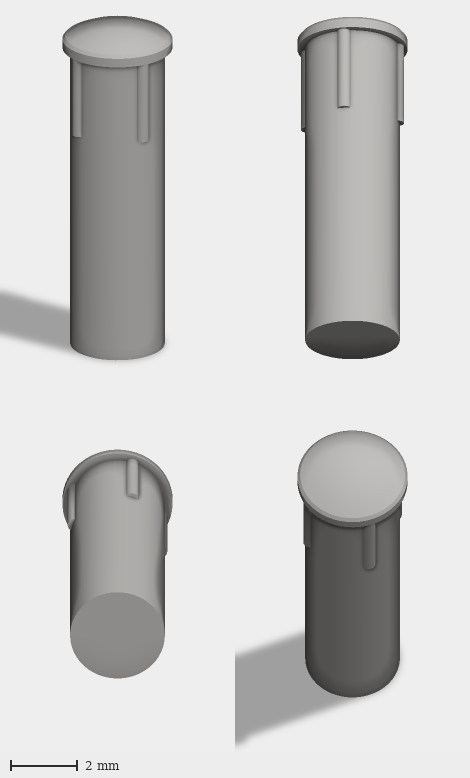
import cadquery as cq

total_height = 10.29
body_diameter = 2.84
head_diameter = 3.3
rim_height = 0.28
edge_chamfer_height = 0.09
dome_diameter = 3.14
dome_height = 0.39
rib_diameter = 0.4
rib_reach = 1.56
rib_length = 2.53
rib_count = 4

dome_base = total_height - dome_height
rim_top = dome_base - edge_chamfer_height
head_bottom = rim_top - rim_height
dome_radius = dome_diameter / 2
sphere_radius = (dome_radius**2 + dome_height**2) / (2 * dome_height)
half_dome_radius = dome_radius / 2
half_dome_level = (
    total_height - sphere_radius + (sphere_radius**2 - half_dome_radius**2) ** 0.5
)


def make_pin():
    """Revolve the body, the head flange and its domed top in one profile."""
    return (
        cq.Workplane("XZ")
        .lineTo(body_diameter / 2, 0)
        .lineTo(body_diameter / 2, head_bottom)
        .lineTo(head_diameter / 2, head_bottom)
        .lineTo(head_diameter / 2, rim_top)
        .lineTo(dome_radius, dome_base)
        .threePointArc((half_dome_radius, half_dome_level), (0, total_height))
        .close()
        .revolve(360, (0, 0, 0), (0, 1, 0))
    )


def make_ribs():
    """Round crush ribs evenly spaced around the body, just under the head."""
    return (
        cq.Workplane("XY")
        .workplane(offset=head_bottom - rib_length)
        .polarArray(rib_reach - rib_diameter / 2, 0, 360, rib_count)
        .circle(rib_diameter / 2)
        .extrude(rib_length)
    )


result = make_pin().union(make_ribs())